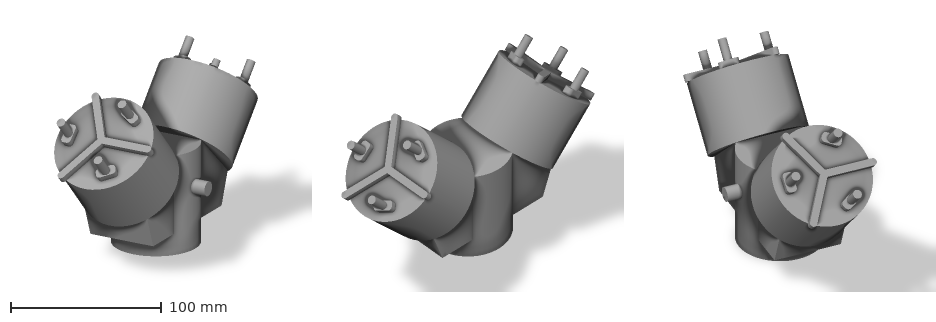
import cadquery as cq
import math

POST_DIAMETER = 60.0
POST_HEIGHT = 70.0

STUB_DIAMETER = 10.0
STUB_REACH = 40.0
STUB_HEIGHT = 44.0

HEAD_DIAMETER = 70.0
HEAD_LENGTH = 49.9
HEAD_TILT = 42.7
HEAD_CENTER_OFFSET = 23.8

BRACKET_WIDTH = 48.0
BRACKET_BOTTOM = 15.0
BRACKET_FOOT_REACH = 45.5
BRACKET_REACH = 53.5

ARM_COUNT = 3
ARM_WIDTH = 5.0
ARM_REACH = 38.0
FACE_RELIEF = 5.0

PIN_DIAMETER = 6.0
PIN_LENGTH = 20.0
PIN_CIRCLE_RADIUS = 25.0
PAD_LENGTH = 14.0
PAD_WIDTH = 7.0
PAD_CORNER_DIAMETER = 5.0

ARM_STEP = 360 / ARM_COUNT
TILT_RADIANS = math.radians(HEAD_TILT)

BRACKET_ROOT = math.sqrt((POST_DIAMETER / 2) ** 2 - (BRACKET_WIDTH / 2) ** 2)


def make_post():
    return cq.Workplane("XY").circle(POST_DIAMETER / 2).extrude(POST_HEIGHT)


def make_bracket():
    """Bracket on the -Y side, its sloped top lying in the base plane of the head."""
    outer_top = POST_HEIGHT - (BRACKET_REACH - BRACKET_ROOT) * math.tan(TILT_RADIANS)
    profile = [
        (0, BRACKET_BOTTOM),
        (-BRACKET_FOOT_REACH, BRACKET_BOTTOM),
        (-BRACKET_REACH, outer_top),
        (-BRACKET_ROOT, POST_HEIGHT),
        (0, POST_HEIGHT),
    ]
    return cq.Workplane("YZ").polyline(profile).close().extrude(BRACKET_WIDTH / 2, both=True)


def make_arm(angle):
    """Bar from the head axis outwards, with a rounded tip."""
    tip_center = ARM_REACH - ARM_WIDTH / 2
    bar = (
        cq.Workplane("XY", origin=(0, 0, HEAD_LENGTH))
        .moveTo(tip_center / 2, 0)
        .slot2D(tip_center + ARM_WIDTH, ARM_WIDTH)
        .extrude(FACE_RELIEF)
    )
    return bar.rotate((0, 0, 0), (0, 0, 1), angle)


def make_padded_pin(angle):
    """Pin on a round-cornered pad that lies across the radial direction."""
    face = cq.Workplane("XY", origin=(PIN_CIRCLE_RADIUS, 0, HEAD_LENGTH))
    pad = face.rect(PAD_WIDTH, PAD_LENGTH).extrude(FACE_RELIEF)
    pad = pad.edges("|Z").fillet(PAD_CORNER_DIAMETER / 2)
    pin = face.circle(PIN_DIAMETER / 2).extrude(PIN_LENGTH)
    return pad.union(pin).rotate((0, 0, 0), (0, 0, 1), angle)


def make_head():
    """Head on the -Y side: built upright, then tilted and set on its bracket."""
    head = cq.Workplane("XY").circle(HEAD_DIAMETER / 2).extrude(HEAD_LENGTH)
    for index in range(ARM_COUNT):
        arm_angle = index * ARM_STEP
        head = head.union(make_arm(arm_angle))
        head = head.union(make_padded_pin(arm_angle + ARM_STEP / 2))
    base_y = -BRACKET_ROOT - HEAD_CENTER_OFFSET * math.cos(TILT_RADIANS)
    base_z = POST_HEIGHT - HEAD_CENTER_OFFSET * math.sin(TILT_RADIANS)
    return head.rotate((0, 0, 0), (1, 0, 0), HEAD_TILT).translate((0, base_y, base_z))


def make_housing():
    """Post with two identical bracket-and-head sides, half a turn apart."""
    housing = make_post()
    side = make_bracket().union(make_head())
    for turn in (0, 180):
        housing = housing.union(side.rotate((0, 0, 0), (0, 0, 1), turn))
    return housing


def make_stub():
    """Round stub whose inner end is shaped to sit against the post wall."""
    stub = (
        cq.Workplane("YZ", origin=(0, 0, STUB_HEIGHT))
        .circle(STUB_DIAMETER / 2)
        .extrude(STUB_REACH)
    )
    return stub.cut(make_post())


housing = make_housing()
stub = make_stub()

result = cq.Compound.makeCompound([housing.val(), stub.val()])